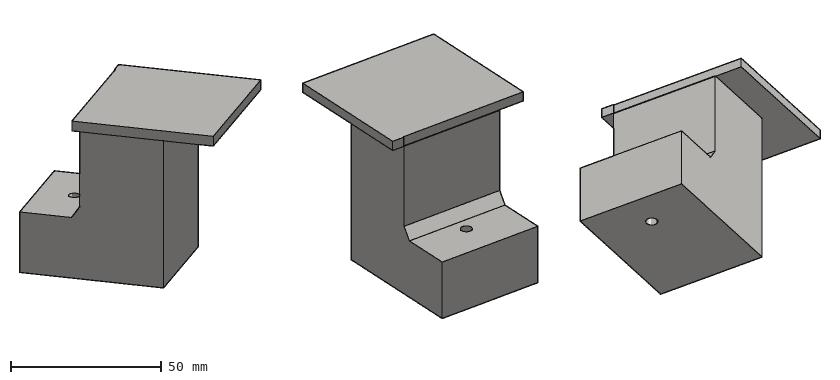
import cadquery as cq

total_height = 60.0
block_length = 50.0
block_width = 40.0
step_height = 21.6
column_front = 20.9
ramp_run = 2.9
ramp_rise = 4.3

plate_thickness = 3.5
plate_end = 70.35
plate_width = 54.9
plate_back_overhang = 4.8
plate_setback = 0.3
plate_bottom = total_height - plate_thickness
plate_back = block_width / 2 + plate_back_overhang
plate_front = plate_back - plate_width

hole_diameter = 4.0
hole_x = 13.0


def make_block():
    """L-shaped block with a sloped ramp in its inner corner."""
    outline = [
        (0, 0),
        (block_length, 0),
        (block_length, plate_bottom),
        (column_front, plate_bottom),
        (column_front, step_height + ramp_rise),
        (column_front - ramp_run, step_height),
        (0, step_height),
    ]
    return cq.Workplane("XZ").polyline(outline).close().extrude(block_width / 2, both=True)


def make_plate():
    """Plate whose -X edge is slightly set back, except beyond the column's +Y side."""
    setback_edge = column_front + plate_setback
    jog_y = block_width / 2
    outline = [
        (setback_edge, plate_front),
        (plate_end, plate_front),
        (plate_end, plate_back),
        (column_front, plate_back),
        (column_front, jog_y),
        (setback_edge, jog_y),
    ]
    return cq.Workplane("XY", origin=(0, 0, plate_bottom)).polyline(outline).close().extrude(plate_thickness)


def make_hole():
    """Cutter for the round hole through the step."""
    return cq.Workplane("XY").center(hole_x, 0).circle(hole_diameter / 2).extrude(step_height)


result = make_block().union(make_plate()).cut(make_hole())